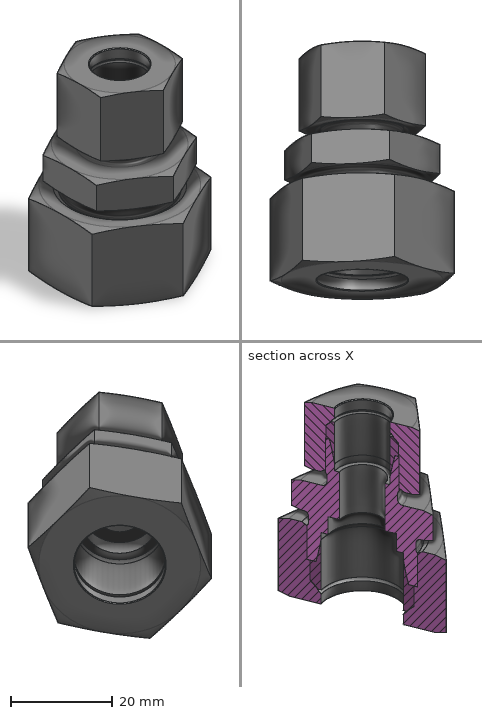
import cadquery as cq
import math


OVERALL_LENGTH = 46.0
BODY_HEX_FLATS = 27.0
BODY_HEX_HEIGHT = 7.0
HEX_CHAMFER_ANGLE = 15.0

UNDERCUT_RADIUS = 1.0
UNDERCUT_STRAIGHT = 1.35
UNDERCUT_FLANK_ANGLE = 30.0

THREAD_END = 11.05
CONE_HALF_ANGLE = 12.0
TUBE_SOCKET_DEPTH = 7.0
RING_SETBACK = 3.25

NUT_HOLE_LENGTH = 2.4
NUT_HOLE_CHAMFER = 0.2
NUT_MOUTH_CHAMFER_ANGLE = 30.0

UPPER = {
    "nut_flats": 22.0, "nut_length": 15.5, "nut_mouth": 18.5,
    "thread": 16.38, "neck": 15.7, "ring": 16.0, "cone": 14.3, "tube": 12.0, "bore": 10.0,
    "reach": 18.5,
}
LOWER = {
    "nut_flats": 32.0, "nut_length": 18.0, "nut_mouth": 26.5,
    "thread": 24.4, "neck": 23.7, "ring": 23.0, "cone": 20.3, "tube": 18.0, "bore": 15.0,
    "reach": OVERALL_LENGTH - BODY_HEX_HEIGHT - UPPER["reach"],
}

LOWER_HEX_FACE = LOWER["reach"]
UPPER_HEX_FACE = LOWER_HEX_FACE + BODY_HEX_HEIGHT


def tan_deg(angle):
    return math.tan(math.radians(angle))


def revolve(profile):
    """Close a profile drawn as (radius, height) and turn it about the Z axis."""
    return profile.close().revolve(360, (0, 0, 0), (0, 1, 0))


def cylinder(diameter, start, end):
    return cq.Workplane("XY", origin=(0, 0, start)).circle(diameter / 2).extrude(end - start)


def chamfered_hexagon(flats, start, height):
    """Hexagonal prism with corners at +Y and -Y, turned down to the flats at both ends."""
    corner_diameter = flats / math.cos(math.pi / 6)
    prism = (
        cq.Workplane("XY", origin=(0, 0, start))
        .transformed(rotate=(0, 0, 90))
        .polygon(6, corner_diameter)
        .extrude(height)
    )
    face_radius = flats / 2
    outer_radius = corner_diameter
    drop = (outer_radius - face_radius) * tan_deg(HEX_CHAMFER_ANGLE)
    envelope = revolve(
        cq.Workplane("XZ")
        .moveTo(0, start)
        .lineTo(face_radius, start)
        .lineTo(outer_radius, start + drop)
        .lineTo(outer_radius, start + height - drop)
        .lineTo(face_radius, start + height)
        .lineTo(0, start + height)
    )
    return prism.intersect(envelope)


def cone_bottom(end):
    """Height where the body cone has narrowed to the tube diameter."""
    return THREAD_END - (end["cone"] - end["tube"]) / 2 / tan_deg(CONE_HALF_ANGLE)


def threaded_end(end):
    """Undercut and thread of one body end, coned and bored for the cutting ring."""
    neck = end["neck"] / 2
    thread = end["thread"] / 2
    flank = math.radians(UNDERCUT_FLANK_ANGLE)

    def inner_fillet_point(angle):
        return (
            neck + UNDERCUT_RADIUS * (1 - math.cos(angle)),
            UNDERCUT_RADIUS * (1 - math.sin(angle)),
        )

    def outer_fillet_point(angle):
        return (
            neck + UNDERCUT_RADIUS * (1 - math.cos(angle)),
            UNDERCUT_RADIUS + UNDERCUT_STRAIGHT + UNDERCUT_RADIUS * math.sin(angle),
        )

    flank_radius, flank_height = outer_fillet_point(flank)
    thread_start = flank_height + (thread - flank_radius) / math.tan(flank)
    return revolve(
        cq.Workplane("XZ")
        .moveTo(end["bore"] / 2, 0)
        .lineTo(*inner_fillet_point(math.pi / 2))
        .threePointArc(inner_fillet_point(math.pi / 4), inner_fillet_point(0))
        .lineTo(*outer_fillet_point(0))
        .threePointArc(outer_fillet_point(flank / 2), outer_fillet_point(flank))
        .lineTo(thread, thread_start)
        .lineTo(thread, THREAD_END)
        .lineTo(end["cone"] / 2, THREAD_END)
        .lineTo(end["tube"] / 2, cone_bottom(end))
        .lineTo(end["tube"] / 2, THREAD_END - TUBE_SOCKET_DEPTH)
        .lineTo(end["bore"] / 2, THREAD_END - TUBE_SOCKET_DEPTH)
    )


def seat_height(end, radius):
    """Height at which the 45 degree seat inside the nut has the given radius."""
    return end["reach"] - NUT_HOLE_LENGTH - (radius - end["tube"] / 2)


def make_ring(end):
    """Cutting ring: a nose that fills the body cone, and a collar that fits the seat of the nut."""
    tube = end["tube"] / 2
    collar = end["ring"] / 2
    end_face = end["reach"] - RING_SETBACK
    end_radius = tube + RING_SETBACK - NUT_HOLE_LENGTH
    return revolve(
        cq.Workplane("XZ")
        .moveTo(tube, cone_bottom(end))
        .lineTo(end["cone"] / 2, THREAD_END)
        .lineTo(collar, THREAD_END)
        .lineTo(collar, seat_height(end, collar))
        .lineTo(end_radius, end_face)
        .lineTo(tube, end_face)
    )


def make_nut(end):
    """Union nut: hexagon with a thread, a seat for the ring and a hole for the tube."""
    outer_face = end["reach"]
    inner_face = outer_face - end["nut_length"]
    thread = end["thread"] / 2
    mouth = end["nut_mouth"] / 2
    collar = end["ring"] / 2
    tube = end["tube"] / 2
    mouth_depth = (mouth - thread) * tan_deg(NUT_MOUTH_CHAMFER_ANGLE)
    cavity = revolve(
        cq.Workplane("XZ")
        .moveTo(0, inner_face)
        .lineTo(mouth, inner_face)
        .lineTo(thread, inner_face + mouth_depth)
        .lineTo(thread, THREAD_END)
        .lineTo(collar, THREAD_END)
        .lineTo(collar, seat_height(end, collar))
        .lineTo(tube, seat_height(end, tube))
        .lineTo(tube, outer_face - NUT_HOLE_CHAMFER)
        .lineTo(tube + NUT_HOLE_CHAMFER, outer_face)
        .lineTo(0, outer_face)
    )
    return chamfered_hexagon(end["nut_flats"], inner_face, end["nut_length"]).cut(cavity)


def place_upper(shape):
    return shape.translate((0, 0, UPPER_HEX_FACE))


def place_lower(shape):
    return shape.rotate((0, 0, 0), (1, 0, 0), 180).translate((0, 0, LOWER_HEX_FACE))


def make_body():
    """Hexagon with the smaller bore through it, and a threaded end on each face."""
    hexagon = chamfered_hexagon(BODY_HEX_FLATS, LOWER_HEX_FACE, BODY_HEX_HEIGHT)
    hexagon = hexagon.cut(cylinder(UPPER["bore"], LOWER_HEX_FACE, UPPER_HEX_FACE))
    upper_end = place_upper(threaded_end(UPPER))
    lower_end = place_lower(threaded_end(LOWER))
    return hexagon.union(upper_end).union(lower_end)


body = make_body()
rings = []
nuts = []
for end, place in ((UPPER, place_upper), (LOWER, place_lower)):
    rings.append(place(make_ring(end)).val())
    nuts.append(place(make_nut(end)).val())

result = cq.Compound.makeCompound([body.val(), *rings, *nuts])